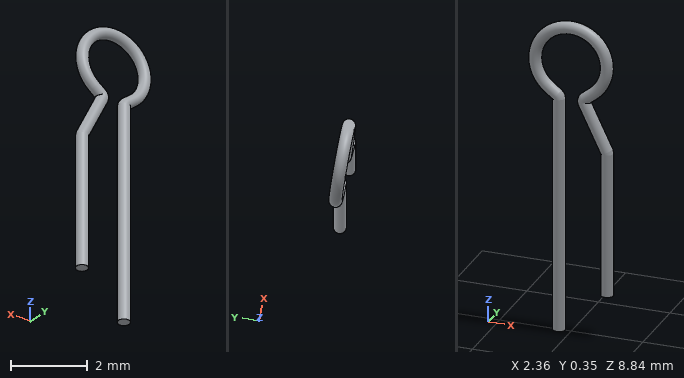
import cadquery as cq
import math

wire_radius = 0.35 / 2
loop_radius = 1.0
bend_radius = 0.1

loop_end_angle = 52.0
neck_half_width = 0.335

long_leg_length = 7.665
short_leg_length = 6.48
short_leg_x = 1.01
joggle_depth = 2.405


def point(x, z):
    return cq.Vector(x, 0, z)


def rod(start, end):
    """Straight length of wire between two centreline points."""
    axis = end - start
    return cq.Workplane(cq.Solid.makeCylinder(wire_radius, axis.Length, start, axis))


def bend(before, corner, after):
    """Bend tangent to both lines meeting at a corner.

    Returns the tangent point on each line and the solid of the bend. The bend is
    tighter than the wire radius, so its section stops at the bend axis.
    """
    incoming = (corner - before).normalized()
    outgoing = (after - corner).normalized()
    turn = incoming.getAngle(outgoing)
    tangent_length = bend_radius * math.tan(turn / 2)
    start = corner - incoming * tangent_length
    end = corner + outgoing * tangent_length

    axis = incoming.cross(outgoing).normalized()
    to_center = axis.cross(incoming)
    center = start + to_center * bend_radius

    section_plane = cq.Plane(origin=center, xDir=to_center * -1, normal=incoming)
    axis_cut = math.sqrt(wire_radius**2 - bend_radius**2)
    sweep_sign = 1 if section_plane.yDir.dot(axis) > 0 else -1
    solid = (
        cq.Workplane(section_plane)
        .moveTo(0, -axis_cut)
        .threePointArc((bend_radius + wire_radius, 0), (0, axis_cut))
        .close()
        .revolve(math.degrees(turn), (0, 0), (0, sweep_sign))
    )
    return start, end, solid


def loop(end_x, end_z):
    """Open loop of wire, running over the top between its two symmetric ends."""
    path = (
        cq.Workplane("XZ")
        .moveTo(-end_x, end_z)
        .threePointArc((0, loop_radius), (end_x, end_z))
    )
    start_plane = cq.Plane(
        origin=(-end_x, 0, end_z), xDir=(0, 1, 0), normal=(end_z, 0, end_x)
    )
    return cq.Workplane(start_plane).circle(wire_radius).sweep(path)


def leg(points):
    """Pieces of a leg: straight rods with a bend at each inner corner."""
    pieces = []
    rod_start = points[0]
    for before, corner, after in zip(points, points[1:], points[2:]):
        bend_start, bend_end, bend_solid = bend(before, corner, after)
        pieces += [rod(rod_start, bend_start), bend_solid]
        rod_start = bend_end
    pieces.append(rod(rod_start, points[-1]))
    return pieces


end_angle = math.radians(loop_end_angle)
loop_end_x = loop_radius * math.cos(end_angle)
loop_end_z = -loop_radius * math.sin(end_angle)
neck_z = loop_end_z - (loop_end_x - neck_half_width) / math.tan(end_angle)

long_leg = leg([
    point(-loop_end_x, loop_end_z),
    point(-neck_half_width, neck_z),
    point(-neck_half_width, -long_leg_length),
])
short_leg = leg([
    point(loop_end_x, loop_end_z),
    point(neck_half_width, neck_z),
    point(short_leg_x, -joggle_depth),
    point(short_leg_x, -short_leg_length),
])

result = loop(loop_end_x, loop_end_z)
for piece in long_leg + short_leg:
    result = result.union(piece)